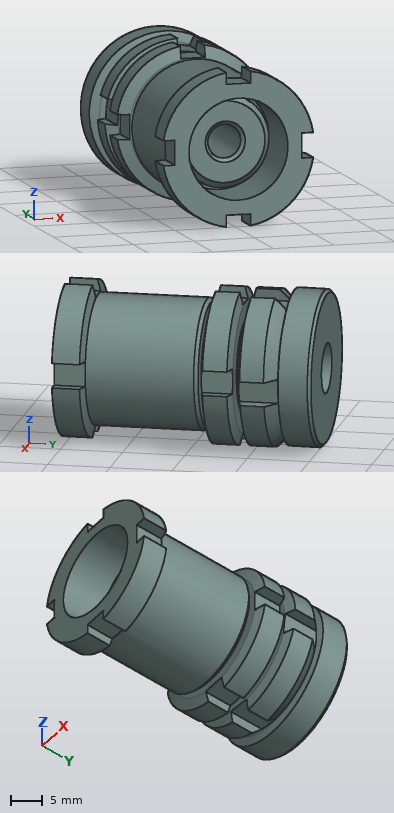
import cadquery as cq


collar_radius = 12.5
collar_length = 5.0
bevel_radius = 10.52
bevel_length = 0.55
slot_width = 4.0
slot_floor_radius = 10.5
slot_count = 4

housing_length = 23.0
barrel_radius = bevel_radius
barrel_chamfer = 0.6
bore_radius = 8.15
bore_depth = 10.0

ring_bottom = 23.65
ring_top = ring_bottom + collar_length

thread_radius = 7.5
spindle_bottom = 6.85
spindle_end_radius = 6.55
neck_radius = 6.75
neck_fillet = 0.5
head_bottom = 29.65
head_edge_top = 34.0
head_turn = 6.7
through_hole_radius = 2.7
through_hole_chamfer = 0.6
ball_center = 23.35
ball_radius = ((head_edge_top - ball_center) ** 2 + collar_radius ** 2) ** 0.5

washer_bottom = 35.95
washer_thickness = 5.57
washer_hole_radius = 4.0
washer_chamfer = 0.5
washer_bevel_length = 0.37
washer_bevel_radius = 11.0
washer_shift_x = -0.62
washer_shift_z = 0.12
washer_tilt_x = -0.3
washer_tilt_z = -0.3


def turn(points):
    """Revolve a closed (radius, y) outline about the Y axis."""
    return cq.Workplane("XY").polyline(points).close().revolve(360, (0, 0, 0), (0, 1, 0))


def cylinder(radius, bottom, top):
    return turn([(0, bottom), (radius, bottom), (radius, top), (0, top)])


def ball():
    return cq.Workplane("XY").sphere(ball_radius).translate((0, ball_center, 0))


def cut_slots(body, bottom, top):
    """Cut the evenly spaced spanner slots in a collar rim."""
    slot_depth = 2 * (collar_radius - slot_floor_radius)
    for index in range(slot_count):
        slot = (
            cq.Workplane("XY")
            .box(slot_width, top - bottom, slot_depth)
            .translate((0, (bottom + top) / 2, slot_floor_radius + slot_depth / 2))
            .rotate((0, 0, 0), (0, 1, 0), index * 360 / slot_count)
        )
        body = body.cut(slot)
    return body


def make_housing():
    body = turn([
        (0, 0),
        (collar_radius, 0),
        (collar_radius, collar_length - bevel_length),
        (barrel_radius, collar_length),
        (barrel_radius, housing_length - barrel_chamfer),
        (barrel_radius - barrel_chamfer, housing_length),
        (0, housing_length),
    ])
    body = cut_slots(body, 0, collar_length)
    body = body.cut(cylinder(bore_radius, 0, bore_depth))
    return body.cut(cylinder(thread_radius, bore_depth, housing_length))


def make_lock_ring():
    body = turn([
        (thread_radius, ring_bottom),
        (bevel_radius, ring_bottom),
        (collar_radius, ring_bottom + bevel_length),
        (collar_radius, ring_top - bevel_length),
        (bevel_radius, ring_top),
        (thread_radius, ring_top),
    ])
    return cut_slots(body, ring_bottom, ring_top)


def make_spindle_head():
    """Slotted head: bevelled below, with a spherical seat on top."""
    ball_top = ball_center + ball_radius
    blank = turn([
        (0, head_bottom),
        (bevel_radius, head_bottom),
        (collar_radius, head_bottom + bevel_length),
        (collar_radius, ball_top),
        (0, ball_top),
    ])
    head = blank.intersect(ball())
    return cut_slots(head, head_bottom, ball_top)


def make_spindle_stem():
    """Threaded stem with a chamfered end and a filleted neck under the head."""
    thread_start = spindle_bottom + thread_radius - spindle_end_radius
    return (
        cq.Workplane("XY")
        .moveTo(0, spindle_bottom)
        .lineTo(spindle_end_radius, spindle_bottom)
        .lineTo(thread_radius, thread_start)
        .lineTo(thread_radius, ring_top)
        .lineTo(neck_radius, ring_top)
        .lineTo(neck_radius, head_bottom - neck_fillet)
        .radiusArc((neck_radius + neck_fillet, head_bottom), neck_fillet)
        .lineTo(0, head_bottom)
        .close()
        .revolve(360, (0, 0, 0), (0, 1, 0))
    )


def make_spindle():
    body = make_spindle_stem().union(make_spindle_head())
    hole = turn([
        (0, spindle_bottom),
        (through_hole_radius + through_hole_chamfer, spindle_bottom),
        (through_hole_radius, spindle_bottom + through_hole_chamfer),
        (through_hole_radius, ball_center + ball_radius),
        (0, ball_center + ball_radius),
    ])
    return body.cut(hole).rotate((0, 0, 0), (0, 1, 0), head_turn)


def make_washer():
    washer_top = washer_bottom + washer_thickness
    body = turn([
        (washer_hole_radius, washer_bottom),
        (washer_bevel_radius, washer_bottom),
        (collar_radius, washer_bottom + washer_bevel_length),
        (collar_radius, washer_top - washer_chamfer),
        (collar_radius - washer_chamfer, washer_top),
        (washer_hole_radius, washer_top),
    ])
    pivot = (0, washer_bottom, 0)
    body = body.rotate(pivot, (1, washer_bottom, 0), washer_tilt_x)
    body = body.rotate(pivot, (0, washer_bottom, 1), washer_tilt_z)
    body = body.translate((washer_shift_x, 0, washer_shift_z))
    return body.cut(ball())


housing = make_housing()
lock_ring = make_lock_ring()
spindle = make_spindle()
washer = make_washer()

result = cq.Compound.makeCompound([housing.val(), lock_ring.val(), spindle.val(), washer.val()])